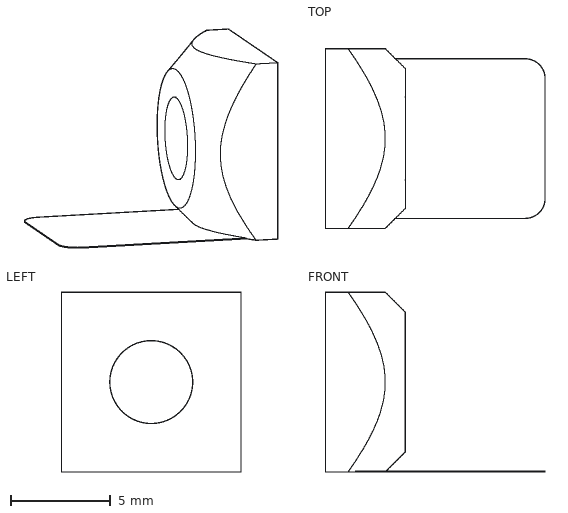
import cadquery as cq

nut_side = 9.0
nut_thickness = 4.0
hole_diameter = 4.14
chamfer = 1.0

total_length = 11.0
tongue_start = 1.0
tongue_width = 8.0
tongue_thickness = 0.05
tongue_corner_radius = 1.0

half_side = nut_side / 2


def make_nut():
    """Square block whose +X side is turned down to a 45 degree cone."""
    block = cq.Workplane("YZ").rect(nut_side, nut_side).extrude(nut_thickness)
    front_radius = half_side - chamfer
    back_radius = front_radius + nut_thickness
    cone = (
        cq.Workplane("XY")
        .polyline([(0, 0), (nut_thickness, 0), (nut_thickness, front_radius), (0, back_radius)])
        .close()
        .revolve(360, (0, 0, 0), (1, 0, 0))
    )
    return block.intersect(cone)


def make_tongue():
    """Thin plate starting under the nut, with its two free corners rounded."""
    tongue_length = total_length - tongue_start
    return (
        cq.Workplane("XY", origin=(tongue_start, 0, -half_side))
        .rect(tongue_length, tongue_width)
        .extrude(tongue_thickness)
        .translate((tongue_length / 2, 0, 0))
        .edges("|Z and >X")
        .fillet(tongue_corner_radius)
    )


def make_hole():
    """Plain bore right through the nut."""
    return cq.Workplane("YZ").circle(hole_diameter / 2).extrude(nut_thickness)


result = make_nut().union(make_tongue()).cut(make_hole())